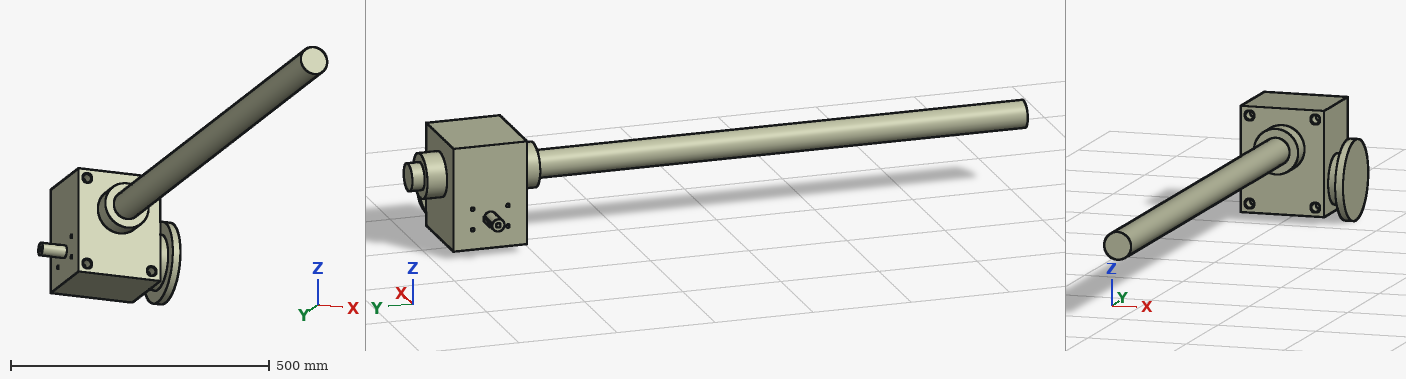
import cadquery as cq
import math

housing_width = 170.0
housing_depth = 150.0
housing_height = 210.0
housing_top = 78.0
housing_bottom = housing_top - housing_height
housing_mid_z = housing_bottom + housing_height / 2
housing_left = -housing_width / 2
housing_right = housing_width / 2
housing_front = -housing_depth / 2

tube_diameter = 90.0
tube_length = 40.0

spindle_diameter = 55.0
spindle_length = 1255.0
spindle_rear_projection = 25.0
spindle_rear = housing_depth / 2 + tube_length + spindle_rear_projection

drive_drop = 70.0
drive_z = -drive_drop

shaft_diameter = 25.0
shaft_length = 50.0
center_hole_diameter = 9.0
center_hole_depth = 20.0
key_width = 8.0
key_height = 7.0
key_rise = 3.0
key_length = 40.0
key_end_gap = 5.0

flange_diameter = 160.0
flange_thickness = 16.0
flange_length = 40.0
neck_small_diameter = 100.0
neck_large_diameter = 110.0

mount_hole_diameter = 17.29
mount_hole_depth = 30.0
mount_mouth_diameter = 20.0
mount_edge_margin = 18.0
mount_spacing_x = housing_width - 2 * mount_edge_margin
mount_spacing_z = housing_height - 2 * mount_edge_margin
drill_tip_angle = 118.0
side_hole_diameter = 6.65
side_hole_depth = 16.0
side_spacing_y = 72.0
side_spacing_z = 42.0


def rod_y(diameter, y_start, y_end):
    """Cylinder on the spindle axis from y_start up to y_end."""
    return cq.Workplane("XZ", origin=(0, y_start, 0)).circle(diameter / 2).extrude(y_start - y_end)


def rod_x(diameter, x_start, x_end):
    """Cylinder on the drive axis from x_start to x_end."""
    plane = cq.Workplane("YZ", origin=(x_start, 0, drive_z))
    return plane.circle(diameter / 2).extrude(x_end - x_start)


def drilled_hole(diameter, depth, mouth, direction):
    """Round hole with a conical drill tip, starting at the point mouth."""
    radius = diameter / 2
    tip = radius / math.tan(math.radians(drill_tip_angle / 2))
    start = cq.Vector(*mouth)
    axis = cq.Vector(*direction)
    bore = cq.Solid.makeCylinder(radius, depth, start, axis)
    cone = cq.Solid.makeCone(radius, 0, tip, start + axis * depth, axis)
    return bore.fuse(cone)


def grid_points(spacing_u, spacing_v):
    """Four corner points of a rectangle centred on the origin."""
    return [(i * spacing_u / 2, j * spacing_v / 2) for i in (-1, 1) for j in (-1, 1)]


def make_spindle():
    """Plain round bar through the whole housing."""
    return rod_y(spindle_diameter, spindle_rear - spindle_length, spindle_rear)


def make_key():
    """Key lying in the rear side of the drive shaft."""
    x_start = housing_left - shaft_length + key_end_gap
    y_start = shaft_diameter / 2 + key_rise - key_height
    key_bar = cq.Workplane("XY").box(key_length, key_height, key_width, centered=(False, False, True))
    return key_bar.translate((x_start, y_start, drive_z))


def make_shaft():
    """Drive shaft that ends on the housing, with a center hole and a keyway."""
    x_end = housing_left - shaft_length
    solid_shaft = rod_x(shaft_diameter, x_end, housing_left)
    hole = drilled_hole(center_hole_diameter, center_hole_depth, (x_end, 0, drive_z), (1, 0, 0))
    return solid_shaft.cut(cq.Workplane(hole)).cut(make_key())


def make_housing_block():
    block = cq.Workplane("XY").box(housing_width, housing_depth, housing_height)
    return block.translate((0, 0, housing_mid_z))


def make_guide_tubes():
    tube_end = housing_depth / 2 + tube_length
    return rod_y(tube_diameter, -tube_end, tube_end)


def make_motor_flange():
    """Conical neck that widens towards a round flange plate."""
    flange_end = housing_right + flange_length
    flange_start = flange_end - flange_thickness
    neck = cq.Solid.makeCone(
        neck_small_diameter / 2,
        neck_large_diameter / 2,
        flange_start - housing_right,
        cq.Vector(housing_right, 0, drive_z),
        cq.Vector(1, 0, 0),
    )
    return rod_x(flange_diameter, flange_start, flange_end).union(cq.Workplane(neck))


def cut_mount_holes(body):
    """Blind holes with 45 degree countersinks in the corners of the front face."""
    inward = (0, 1, 0)
    mouth_radius = mount_mouth_diameter / 2
    hole_radius = mount_hole_diameter / 2
    countersink_depth = mouth_radius - hole_radius
    for x, z in grid_points(mount_spacing_x, mount_spacing_z):
        mouth = (x, housing_front, housing_mid_z + z)
        hole = drilled_hole(mount_hole_diameter, mount_hole_depth, mouth, inward)
        countersink = cq.Solid.makeCone(
            mouth_radius, hole_radius, countersink_depth, cq.Vector(*mouth), cq.Vector(*inward)
        )
        body = body.cut(cq.Workplane(hole)).cut(cq.Workplane(countersink))
    return body


def cut_side_holes(body):
    """Small blind holes around the drive shaft."""
    for y, z in grid_points(side_spacing_y, side_spacing_z):
        mouth = (housing_left, y, drive_z + z)
        hole = drilled_hole(side_hole_diameter, side_hole_depth, mouth, (1, 0, 0))
        body = body.cut(cq.Workplane(hole))
    return body


def make_housing():
    """Block with guide tubes and motor flange, bored for the spindle."""
    body = make_housing_block().union(make_guide_tubes()).union(make_motor_flange())
    body = cut_side_holes(cut_mount_holes(body))
    return body.cut(make_spindle())


housing = make_housing()
spindle = make_spindle()
shaft = make_shaft()
key = make_key()

result = cq.Compound.makeCompound([housing.val(), spindle.val(), shaft.val(), key.val()])